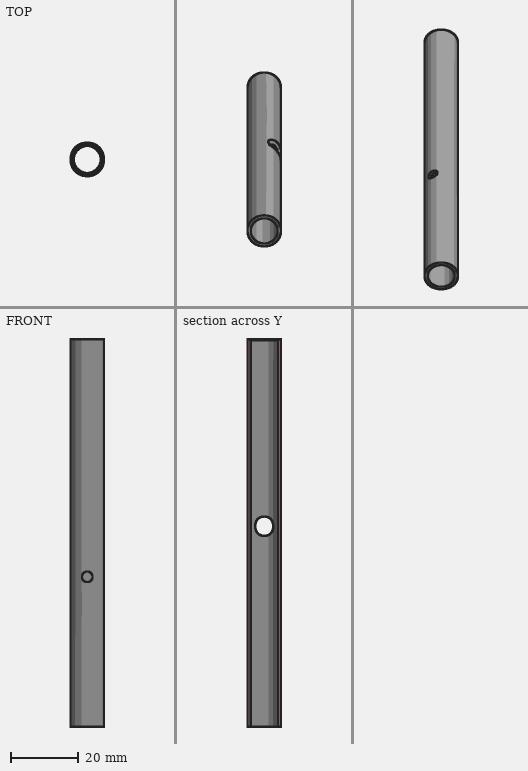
import cadquery as cq

TUBE_LENGTH = 115.0
OUTER_DIAMETER = 10.0
BORE_DIAMETER = 8.0
OUTER_RADIUS = OUTER_DIAMETER / 2
BORE_RADIUS = BORE_DIAMETER / 2

RIM_CHAMFER = 0.5

HOLE_DIAMETER = 3.15
HOLE_HEIGHT = 44.5

NOTCH_DIAMETER = 9.0
NOTCH_DEPTH = 2.0
NOTCH_HEIGHT = 59.5


def make_tube():
    """Straight tube with an open bore."""
    return (
        cq.Workplane("XY")
        .circle(OUTER_RADIUS)
        .circle(BORE_RADIUS)
        .extrude(TUBE_LENGTH)
    )


def make_rim_chamfer_cutter():
    """Cone that opens the top of the bore outward."""
    return (
        cq.Workplane("XY", origin=(0, 0, TUBE_LENGTH - RIM_CHAMFER))
        .circle(BORE_RADIUS)
        .workplane(offset=RIM_CHAMFER)
        .circle(BORE_RADIUS + RIM_CHAMFER)
        .loft()
    )


def make_hole_cutter():
    """Pin running from the tube axis out through the -Y wall."""
    return (
        cq.Workplane("XZ")
        .center(0, HOLE_HEIGHT)
        .circle(HOLE_DIAMETER / 2)
        .extrude(OUTER_DIAMETER)
    )


def make_notch_cutter():
    """Cylinder along X that dips NOTCH_DEPTH into the +Y side."""
    axis_y = OUTER_RADIUS - NOTCH_DEPTH + NOTCH_DIAMETER / 2
    return (
        cq.Workplane("YZ")
        .center(axis_y, NOTCH_HEIGHT)
        .circle(NOTCH_DIAMETER / 2)
        .extrude(OUTER_DIAMETER, both=True)
    )


result = (
    make_tube()
    .cut(make_rim_chamfer_cutter())
    .cut(make_hole_cutter())
    .cut(make_notch_cutter())
)